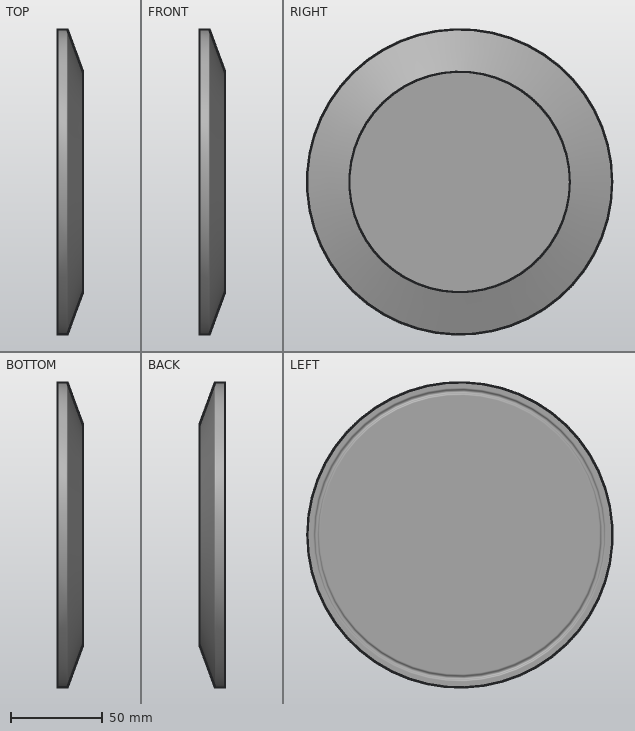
import cadquery as cq
import math

outer_radius = 83.5
thickness = 14.0
rim_width = 5.5
rim_edge_radius = 0.5
back_face_radius = 60.3

groove_mid_radius = 78.3
lip_width = 1.0
groove_radius = 1.2

floor_half_width = lip_width
wall_angle = math.asin(lip_width / groove_radius)
lip_depth = groove_radius * (1 - math.cos(wall_angle))
groove_depth = 2 * lip_depth
groove_inner_radius = groove_mid_radius - floor_half_width
groove_outer_radius = groove_mid_radius + floor_half_width

lip_mid_depth = groove_radius * (1 - math.cos(wall_angle / 2))
lip_mid_distance = groove_radius * math.sin(wall_angle / 2)
lip_start_inner = groove_inner_radius - lip_width
lip_start_outer = groove_outer_radius + lip_width

cone_angle = math.atan2(outer_radius - back_face_radius, thickness - rim_width)
tangent_length = rim_edge_radius * math.tan(cone_angle / 2)
cone_start_x = rim_width + tangent_length * math.cos(cone_angle)
cone_start_radius = outer_radius - tangent_length * math.sin(cone_angle)
arc_start_x = rim_width - tangent_length
arc_mid_x = arc_start_x + rim_edge_radius * math.sin(cone_angle / 2)
arc_mid_radius = outer_radius - rim_edge_radius * (1 - math.cos(cone_angle / 2))

half_section = (
    cq.Workplane("XY")
    .lineTo(0, lip_start_inner)
    .threePointArc(
        (lip_mid_depth, lip_start_inner + lip_mid_distance),
        (lip_depth, groove_inner_radius),
    )
    .threePointArc(
        (groove_depth, groove_mid_radius),
        (lip_depth, groove_outer_radius),
    )
    .threePointArc(
        (lip_mid_depth, lip_start_outer - lip_mid_distance),
        (0, lip_start_outer),
    )
    .lineTo(0, outer_radius)
    .lineTo(arc_start_x, outer_radius)
    .threePointArc((arc_mid_x, arc_mid_radius), (cone_start_x, cone_start_radius))
    .lineTo(thickness, back_face_radius)
    .lineTo(thickness, 0)
    .close()
)

result = half_section.revolve(360, (0, 0, 0), (1, 0, 0))